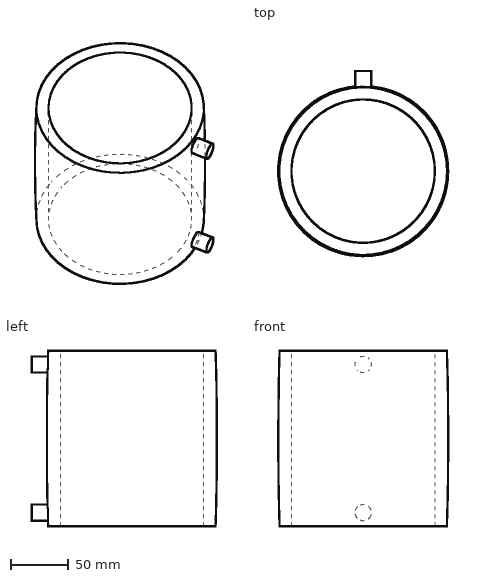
import cadquery as cq

height = 154.0
band_height = 24.7
band_radius = 74.6
end_radius = 73.5
bore_radius = 62.8

pin_radius = 7.2
pin_end_offset = 12.0
overall_depth = 162.6
pin_tip_y = overall_depth - band_radius
wall_mid_radius = (bore_radius + end_radius) / 2

half_height = height / 2
half_band = band_height / 2

bulge_mid_z = (half_height + half_band) / 2
bulge_mid_radius = band_radius - (band_radius - end_radius) / 4


def make_sleeve():
    """Revolve the wall section about Z."""
    section = (
        cq.Workplane("XZ")
        .moveTo(bore_radius, -half_height)
        .lineTo(end_radius, -half_height)
        .threePointArc((bulge_mid_radius, -bulge_mid_z), (band_radius, -half_band))
        .lineTo(band_radius, half_band)
        .threePointArc((bulge_mid_radius, bulge_mid_z), (end_radius, half_height))
        .lineTo(bore_radius, half_height)
        .close()
    )
    return section.revolve(360, (0, 0, 0), (0, 1, 0))


def make_pin(z):
    """Round pin starting inside the wall and ending at the tip plane."""
    return (
        cq.Workplane("XZ", origin=(0, wall_mid_radius, z))
        .circle(pin_radius)
        .extrude(-(pin_tip_y - wall_mid_radius))
    )


result = make_sleeve()
pin_z = half_height - pin_end_offset
for z in (-pin_z, pin_z):
    result = result.union(make_pin(z))